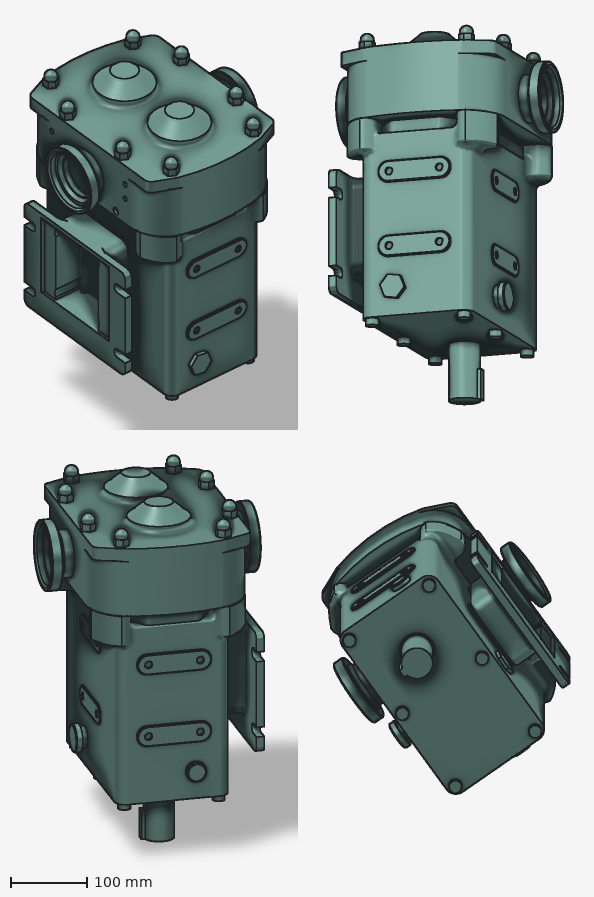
import cadquery as cq
import math


shaft_x = 57.0

case_half_x = 133.0
case_half_y = 76.5
case_top = 246.5
case_corner_radius = 15.0
case_top_round = 3.0
deck_top = 262.5
deck_flat_half_x = 80.5
deck_flat_half_y = 35.0
deck_corner_round = 7.0

boss_inner = (85.0, 57.0)
boss_outer = (141.2, 104.8)
boss_side_end = 73.5
boss_arc_middle = (129.0, 90.0)
boss_arc_end = (112.0, 101.0)
boss_front_end = 104.5
boss_inner_radius = 16.0
boss_edge_round = 3.5
boss_bottom = 223.5
boss_blend = 10.0

pad_heights = (93.5, 193.5)
pad_width = 28.5
pad_length = 101.0
pad_hole_spacing = 70.0
pad_hole_diameter = 10.0
pad_chamfer = 1.5
side_pad_thickness = 3.5
back_pad_thickness = 2.0
front_pad_thickness = 4.0

plug_offset = 29.5
plug_z = 38.5
hex_plug_diameter = 34.5
hex_plug_angle = -9
front_plug_height = 4.5
side_plug_height = 6.0
round_plug_radius = 13.5
round_plug_height = 7.5
round_plug_chamfer = 2.0
sight_neck_radius = 15.0
sight_neck_length = 8.0
sight_flange_radius = 19.0
sight_flange_length = 9.0
sight_chamfer = 1.5

screw_xs = (-120.0, 0, 120.0)
screw_y = 64.0
screw_radius = 8.5
screw_height = 9.0

shaft_radius = 20.5
shaft_length = 77.0
seal_radius = 23.0
seal_height = 1.5
collar_top_radius = 26.0
collar_bottom_radius = 24.5
key_length = 40.0
key_width = 11.0
key_height = 4.0

head_bottom = 266.5
head_top = 360.5
cover_thickness = 18.0
cover_bottom = head_top - cover_thickness
head_half_x = 149.9
head_half_y = 107.5
cover_side_y = 69.0
cover_side_x = 141.0
cover_front_x = 124.0
cover_corner_radius = 11.5
head_flat_half_x = 83.5
head_corner_y = 64.5

head_holes = ((76.2, 330.0, 7.0), (76.2, 307.0, 6.5), (shaft_x, 276.0, 10.0))
head_hole_depth = 4.5

port_z = 308.0
port_face_y = 141.95
port_flange_radius = 47.2
port_flange_thickness = 15.5
port_edge_chamfer = 1.5
port_neck_radius = 32.0
port_neck_flare = 4.0
port_neck_flare_length = 5.5
port_mouth_radius = 42.5
port_rim_bore = 39.8
port_rim_depth = 10.8
port_seat_radius = 35.0
port_seat_small_radius = 31.0
port_seat_depth = 16.5
port_bore = 29.0
port_depth = 25.0

dome_height = 30.0
dome_top_radius = 22.0
dome_top_chamfer = 3.0
dome_shoulder_radius = 42.0
dome_shoulder_height = 10.5
dome_foot_radius = 9.5

nut_places = ((shaft_x, 96.0), (125.0, 69.0))
nut_corner_diameter = 21.0
nut_hex_height = 10.5
nut_cap_radius = 9.0
nut_cap_height = 22.5

foot_back_y = -case_half_y - front_pad_thickness
foot_front_y = -130.5
plate_thickness = 10.8
plate_back_y = foot_front_y + plate_thickness
plate_half_x = 104.8
plate_top = 210.5
plate_bottom = 44.5
plate_corner_radius = 9.5
slot_width = 13.5
slot_end_x = 82.0
slot_heights = (73.5, 178.5)
tub_half_x = 53.1
tub_bottom = 77.5
tub_corner_radius = 18.0
tub_back_round = 4.5
tub_blend = 5.5
window_half_x = 70.5
window_bottom = 83.3
window_top = 203.0
window_depth = 3.7
window_chamfer = 3.5
cavity_half_x = 44.0
cavity_bottom = window_bottom
cavity_top = 202.5
cavity_floor_y = -87.0
cavity_floor_round = 4.5
cavity_relief_radius = 10.8
cavity_relief_x = 35.0

match_tolerance = 0.05


def block(x0, x1, y0, y1, z0, z1):
    """Box between two opposite corners."""
    return cq.Workplane("XY").box(x1 - x0, y1 - y0, z1 - z0, centered=False).translate((x0, y0, z0))


def wall_plane(face, along, z):
    """Plane on a gearbox wall, facing outward, with local y up."""
    planes = {
        "front": ((along, -case_half_y, z), (1, 0, 0), (0, -1, 0)),
        "back": ((along, case_half_y, z), (-1, 0, 0), (0, 1, 0)),
        "left": ((-case_half_x, along, z), (0, -1, 0), (-1, 0, 0)),
        "right": ((case_half_x, along, z), (0, 1, 0), (1, 0, 0)),
    }
    origin, x_dir, normal = planes[face]
    return cq.Workplane(cq.Plane(origin=origin, xDir=x_dir, normal=normal))


def mirror_four(solid):
    """The solid and its mirror images in the X = 0 and Y = 0 planes."""
    pair = solid.union(solid.mirror("YZ"))
    return pair.union(pair.mirror("XZ"))


def case_block():
    case = block(-case_half_x, case_half_x, -case_half_y, case_half_y, 0, case_top)
    case = case.edges("|Z").fillet(case_corner_radius)
    return case.faces(">Z").edges().fillet(case_top_round)


def corner_boss():
    """Boss on the +X +Y corner, standing out past the gearbox walls."""
    (x0, y0), (x1, y1) = boss_inner, boss_outer
    boss = (
        cq.Workplane("XY", origin=(0, 0, boss_bottom))
        .moveTo(x0, y0)
        .lineTo(x1, y0)
        .lineTo(x1, boss_side_end)
        .threePointArc(boss_arc_middle, boss_arc_end)
        .lineTo(boss_front_end, y1)
        .lineTo(x0, y1)
        .close()
        .extrude(head_bottom - boss_bottom)
    )
    far_ends = [(x1, y0), (x0, y1)]
    for x, y in far_ends:
        corner = cq.selectors.NearestToPointSelector((x, y, (boss_bottom + head_bottom) / 2))
        boss = boss.edges("|Z").edges(corner).fillet(boss_inner_radius)
    return boss.faces("<Z").edges().fillet(boss_edge_round)


def on_case_wall(point):
    """True for a point on the gearbox's outer wall, rounded corners included."""
    over_x = abs(point.x) - (case_half_x - case_corner_radius)
    over_y = abs(point.y) - (case_half_y - case_corner_radius)
    if over_x > 0 and over_y > 0:
        distance = math.hypot(over_x, over_y)
    else:
        distance = max(over_x, over_y)
    return abs(distance - case_corner_radius) < match_tolerance


def case_with_bosses():
    case = case_block().union(mirror_four(corner_boss()))
    seams = [
        edge for edge in case.edges().vals()
        if all(on_case_wall(edge.positionAt(t)) for t in (0, 0.5, 1))
        and boss_bottom - match_tolerance < edge.Center().z < case_top - case_top_round
    ]
    return case.newObject(seams).fillet(boss_blend)


def deck():
    """Raised deck between the bosses, with slanted corners."""
    half_x = case_half_x - case_top_round
    half_y = case_half_y - case_top_round
    quarter = [(half_x, deck_flat_half_y), (deck_flat_half_x, half_y)]
    points = quarter + [(-x, y) for x, y in reversed(quarter)]
    points += [(-x, -y) for x, y in points]
    plate = cq.Workplane("XY", origin=(0, 0, case_top)).polyline(points).close()
    return plate.extrude(deck_top - case_top).edges("|Z").fillet(deck_corner_round)


def cover_pad(face, z, thickness):
    pad = wall_plane(face, 0, z).slot2D(pad_length, pad_width).extrude(thickness)
    outward = {"front": "<Y", "back": ">Y", "left": "<X", "right": ">X"}[face]
    pad = pad.faces(outward).chamfer(pad_chamfer)
    holes = wall_plane(face, 0, z).pushPoints([(-pad_hole_spacing / 2, 0), (pad_hole_spacing / 2, 0)])
    return pad.cut(holes.circle(pad_hole_diameter / 2).extrude(thickness))


def hex_plug(face, along, height):
    plug = wall_plane(face, along, plug_z).transformed(rotate=(0, 0, hex_plug_angle))
    return plug.polygon(6, hex_plug_diameter).extrude(height)


def round_plug():
    plug = wall_plane("left", -plug_offset, plug_z).circle(round_plug_radius).extrude(round_plug_height)
    return plug.faces("<X").chamfer(round_plug_chamfer)


def sight_glass():
    neck = wall_plane("back", plug_offset, plug_z).circle(sight_neck_radius).extrude(sight_neck_length)
    flange = neck.faces(">Y").workplane().circle(sight_flange_radius).extrude(sight_flange_length)
    return flange.faces(">Y").chamfer(sight_chamfer)


def bottom_screws():
    places = [(x, y) for x in screw_xs for y in (-screw_y, screw_y)]
    return cq.Workplane("XY").pushPoints(places).circle(screw_radius).extrude(-screw_height)


def drive_shaft():
    """Shaft end with its seal and key below the case, and its collar above the deck."""
    base = cq.Workplane("XY").center(-shaft_x, 0)
    shaft = base.circle(shaft_radius).extrude(-shaft_length)
    shaft = shaft.union(base.circle(seal_radius).extrude(-seal_height))
    key = block(
        -shaft_x - key_width / 2, -shaft_x + key_width / 2,
        0, shaft_radius + key_height,
        -shaft_length, -shaft_length + key_length,
    )
    collar = (
        cq.Workplane("XY", origin=(-shaft_x, 0, deck_top)).circle(collar_bottom_radius)
        .workplane(offset=head_bottom - deck_top).circle(collar_top_radius).loft()
    )
    return shaft.union(key).union(collar)


def make_gearbox():
    gearbox = case_with_bosses().union(deck())
    pad_thicknesses = {
        "front": front_pad_thickness,
        "back": back_pad_thickness,
        "left": side_pad_thickness,
        "right": side_pad_thickness,
    }
    for face, thickness in pad_thicknesses.items():
        for z in pad_heights:
            gearbox = gearbox.union(cover_pad(face, z, thickness))
    gearbox = gearbox.union(hex_plug("front", plug_offset, front_plug_height))
    gearbox = gearbox.union(hex_plug("right", -plug_offset, side_plug_height))
    gearbox = gearbox.union(round_plug()).union(sight_glass())
    return gearbox.union(bottom_screws()).union(drive_shaft())


def side_curve_x(y):
    """X of the head's curved side at a given Y."""
    bulge = head_half_x - cover_side_x
    radius = (cover_side_y**2 + bulge**2) / (2 * bulge)
    return head_half_x - radius + math.sqrt(radius**2 - y**2)


def cover_plate():
    """Top plate with slanted corners and curved sides."""
    plate = (
        cq.Workplane("XY", origin=(0, 0, cover_bottom))
        .moveTo(-cover_front_x, -head_half_y)
        .lineTo(cover_front_x, -head_half_y)
        .lineTo(cover_side_x, -cover_side_y)
        .threePointArc((head_half_x, 0), (cover_side_x, cover_side_y))
        .lineTo(cover_front_x, head_half_y)
        .lineTo(-cover_front_x, head_half_y)
        .lineTo(-cover_side_x, cover_side_y)
        .threePointArc((-head_half_x, 0), (-cover_side_x, -cover_side_y))
        .close()
        .extrude(cover_thickness)
    )
    return plate.edges("|Z and (>Y or <Y)").fillet(cover_corner_radius)


def rotor_housing():
    """Lower part of the head, whose corners are large arcs tangent to front and back."""
    end_y = head_corner_y
    end_x = side_curve_x(end_y)
    run_x = end_x - head_flat_half_x
    run_y = head_half_y - end_y
    radius = (run_x**2 + run_y**2) / (2 * run_y)
    half_turn = math.asin(run_x / radius) / 2
    middle_x = head_flat_half_x + radius * math.sin(half_turn)
    middle_y = head_half_y - radius * (1 - math.cos(half_turn))
    return (
        cq.Workplane("XY", origin=(0, 0, head_bottom))
        .moveTo(-head_flat_half_x, -head_half_y)
        .lineTo(head_flat_half_x, -head_half_y)
        .threePointArc((middle_x, -middle_y), (end_x, -end_y))
        .threePointArc((head_half_x, 0), (end_x, end_y))
        .threePointArc((middle_x, middle_y), (head_flat_half_x, head_half_y))
        .lineTo(-head_flat_half_x, head_half_y)
        .threePointArc((-middle_x, middle_y), (-end_x, end_y))
        .threePointArc((-head_half_x, 0), (-end_x, -end_y))
        .threePointArc((-middle_x, -middle_y), (-head_flat_half_x, -head_half_y))
        .close()
        .extrude(cover_bottom - head_bottom)
    )


def turned_about_port(points):
    """Solid of revolution about the port axis from (radius, y) points."""
    profile = cq.Workplane("XY", origin=(0, 0, port_z)).polyline(points).close()
    return profile.revolve(360, (0, 0, 0), (0, 1, 0))


def port_body():
    """Flanged neck of the port on the +Y side."""
    flange_back = port_face_y - port_flange_thickness
    edge = port_edge_chamfer
    return turned_about_port([
        (0, 0),
        (port_neck_radius, 0),
        (port_neck_radius, flange_back - port_neck_flare_length),
        (port_neck_radius + port_neck_flare, flange_back),
        (port_flange_radius - edge, flange_back),
        (port_flange_radius, flange_back + edge),
        (port_flange_radius, port_face_y - edge),
        (port_flange_radius - edge, port_face_y),
        (0, port_face_y),
    ])


def port_opening():
    """Stepped blind bore of the port on the +Y side."""
    mouth_chamfer = port_mouth_radius - port_rim_bore
    return turned_about_port([
        (0, port_face_y),
        (port_mouth_radius, port_face_y),
        (port_rim_bore, port_face_y - mouth_chamfer),
        (port_rim_bore, port_face_y - port_rim_depth),
        (port_seat_radius, port_face_y - port_rim_depth),
        (port_seat_small_radius, port_face_y - port_seat_depth),
        (port_bore, port_face_y - port_seat_depth),
        (port_bore, port_face_y - port_depth),
        (0, port_face_y - port_depth),
    ])


def rotor_dome(x):
    """Cone on a flared foot over a rotor."""
    foot_outer = dome_shoulder_radius + dome_foot_radius
    arc_inset = dome_foot_radius * math.sqrt(0.5)
    return (
        cq.Workplane("XZ")
        .moveTo(0, 0)
        .lineTo(foot_outer, 0)
        .threePointArc(
            (foot_outer - arc_inset, dome_foot_radius - arc_inset),
            (dome_shoulder_radius, dome_foot_radius),
        )
        .lineTo(dome_shoulder_radius, dome_shoulder_height)
        .lineTo(dome_top_radius, dome_height - dome_top_chamfer)
        .lineTo(dome_top_radius - dome_top_chamfer, dome_height)
        .lineTo(0, dome_height)
        .close()
        .revolve(360, (0, 0, 0), (0, 1, 0))
        .translate((x, 0, head_top))
    )


def cap_nut(x, y):
    base = cq.Workplane("XY", origin=(x, y, head_top))
    cap_centre = nut_cap_height - nut_cap_radius
    nut = base.polygon(6, nut_corner_diameter).extrude(nut_hex_height)
    nut = nut.union(base.circle(nut_cap_radius).extrude(cap_centre))
    return nut.union(cq.Workplane("XY").sphere(nut_cap_radius).translate((x, y, head_top + cap_centre)))


def front_holes():
    holes = cq.Workplane("XY")
    for x, z, diameter in head_holes:
        for side in (-1, 1):
            spot = cq.Workplane("XZ", origin=(side * x, -head_half_y, z))
            holes = holes.union(spot.circle(diameter / 2).extrude(-head_hole_depth))
    return holes


def make_head():
    head = rotor_housing().union(cover_plate())
    port = port_body()
    opening = port_opening()
    head = head.union(port).union(port.mirror("XZ"))
    head = head.cut(opening).cut(opening.mirror("XZ"))
    for x in (-shaft_x, shaft_x):
        head = head.union(rotor_dome(x))
    for x, y in nut_places:
        head = head.union(mirror_four(cap_nut(x, y)))
    return head.cut(front_holes())


def foot_plate_and_tub():
    """Slotless plate with the rounded tub blended onto its back."""
    spare = 2 * tub_blend
    plate = block(
        -plate_half_x, plate_half_x,
        foot_front_y, plate_back_y,
        plate_bottom, plate_top + spare,
    )
    tub = block(-tub_half_x, tub_half_x, plate_back_y, foot_back_y, tub_bottom, plate_top)
    tub = tub.edges("|Y").fillet(tub_corner_radius)
    tub = tub.faces(">Y").edges().fillet(tub_back_round)
    seam = cq.selectors.BoxSelector(
        (-tub_half_x - tub_blend, plate_back_y - match_tolerance, tub_bottom - tub_blend),
        (tub_half_x + tub_blend, plate_back_y + match_tolerance, plate_top + tub_blend),
    )
    foot = plate.union(tub).edges(seam).fillet(tub_blend)
    envelope = block(-plate_half_x, plate_half_x, foot_front_y, foot_back_y, plate_bottom, plate_top)
    envelope = envelope.edges("|Y").fillet(plate_corner_radius)
    return foot.intersect(envelope)


def side_slot(side, z):
    """Open-ended bolt slot in the plate's left (-1) or right (+1) edge."""
    end_centre = slot_end_x + slot_width / 2
    outer = plate_half_x + slot_width
    slot = block(end_centre, outer, foot_front_y, plate_back_y, z - slot_width / 2, z + slot_width / 2)
    nose = cq.Workplane("XZ", origin=(end_centre, foot_front_y, z)).circle(slot_width / 2)
    slot = slot.union(nose.extrude(-plate_thickness))
    return slot if side > 0 else slot.mirror("YZ")


def window_recess():
    recess = block(
        -window_half_x, window_half_x,
        foot_front_y, foot_front_y + window_depth,
        window_bottom, window_top,
    )
    return recess.faces(">Y").edges("|Z or >Z").chamfer(window_chamfer)


def cavity():
    """Deep pocket with a rounded floor edge and a drilled relief in each corner."""
    pocket = block(-cavity_half_x, cavity_half_x, foot_front_y, cavity_floor_y, cavity_bottom, cavity_top)
    pocket = pocket.faces(">Y").edges().fillet(cavity_floor_round)
    for x in (-cavity_relief_x, cavity_relief_x):
        for z in (cavity_bottom + cavity_relief_radius, cavity_top - cavity_relief_radius):
            relief = cq.Workplane("XZ", origin=(x, foot_front_y, z)).circle(cavity_relief_radius)
            pocket = pocket.union(relief.extrude(foot_front_y - cavity_floor_y))
    return pocket


def make_foot():
    foot = foot_plate_and_tub().cut(window_recess()).cut(cavity())
    for side in (-1, 1):
        for z in slot_heights:
            foot = foot.cut(side_slot(side, z))
    return foot


gearbox = make_gearbox()
head = make_head()
foot = make_foot()

result = cq.Compound.makeCompound([gearbox.val(), head.val(), foot.val()])